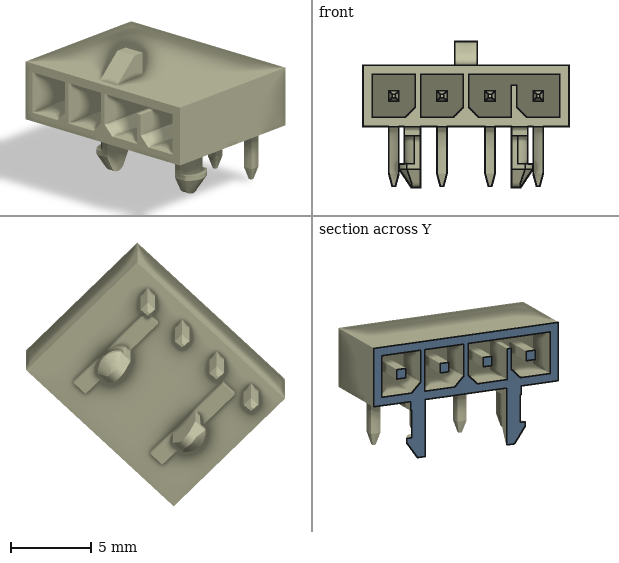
import cadquery as cq


width = 12.85
depth = 9.91
height = 3.83

pin_count = 4
row_span = 9.0
pitch = row_span / (pin_count - 1)
row_z = height / 2

cavity_size = 2.67
cavity_chamfer = 0.63
cavity_depth = 7.32
partition_gap = 0.67

pin_size = 0.64
pin_tip_size = 0.2
pin_tip_length = 0.81
pin_recess = 2.83
leg_setback = 1.04
leg_y = depth - leg_setback
leg_reach = 3.73

latch_width = 1.41
latch_height = 1.49
latch_front = 0.59
latch_back = 2.95
latch_crest = 0.78

rail_inner_x = 2.83
rail_width = 1.03
rail_height = 0.58
rail_front = 1.6
rail_length = 6.46

peg_y = 4.61
peg_half_width = 1.0
stem_flat = 0.39
stem_bulge = rail_width - stem_flat
barb_flat = 0.86
barb_bulge = 0.49
tip_half_width = 0.39
tip_flat = 0.46
tip_bulge = 0.12
nose_half_width = 0.54
nose_height = 0.3

barb_top = 2.33
barb_bottom = 2.65
peg_reach = 3.8

pin_xs = [i * pitch - row_span / 2 for i in range(pin_count)]


def box(x_range, y_range, z_range):
    """Box between pairs of coordinates."""
    size = [high - low for low, high in (x_range, y_range, z_range)]
    return cq.Workplane("XY").box(*size, centered=False).translate((x_range[0], y_range[0], z_range[0]))


def cavity(x, chamfer_side):
    """Square cavity with one lower corner cut, on the side given by the sign."""
    half = cavity_size / 2
    cut = half - cavity_chamfer
    outline = [
        (-half * chamfer_side, -half),
        (cut * chamfer_side, -half),
        (half * chamfer_side, -cut),
        (half * chamfer_side, half),
        (-half * chamfer_side, half),
    ]
    return cq.Workplane("XZ", origin=(x, 0, row_z)).polyline(outline).close().extrude(-cavity_depth)


def bar_with_tip(plane, length):
    """Square bar from the plane's origin along its normal, tapering at the far end."""
    shank_length = length - pin_tip_length
    shank = cq.Workplane(plane).rect(pin_size, pin_size).extrude(shank_length)
    tip = (
        cq.Workplane(plane)
        .workplane(offset=shank_length)
        .rect(pin_size, pin_size)
        .workplane(offset=pin_tip_length)
        .rect(pin_tip_size, pin_tip_size)
        .loft(ruled=True)
    )
    return shank.union(tip)


def pin(x):
    """Right-angle contact whose two arms start at the bend inside the back wall."""
    bend = (x, leg_y, row_z)
    contact = bar_with_tip(cq.Plane(bend, (1, 0, 0), (0, -1, 0)), leg_y - pin_recess)
    leg = bar_with_tip(cq.Plane(bend, (1, 0, 0), (0, 0, -1)), row_z + leg_reach)
    return contact.union(leg)


def latch():
    """Ramp rising from the mating side to a short crest."""
    outline = [
        (latch_front, height),
        (latch_back, height),
        (latch_back, height + latch_height),
        (latch_back - latch_crest, height + latch_height),
    ]
    return cq.Workplane("YZ").polyline(outline).close().extrude(latch_width / 2, both=True)


def peg_section(sketch, half_width, flat, bulge):
    """Section with a straight inner edge, two straight ends and a bowed outer edge."""
    return (
        sketch.moveTo(0, -half_width)
        .lineTo(flat, -half_width)
        .threePointArc((flat + bulge, 0), (flat, half_width))
        .lineTo(0, half_width)
        .close()
    )


def peg():
    """Snap peg on the +X side."""
    root = cq.Workplane("XY", origin=(rail_inner_x, peg_y, -rail_height))
    stem = peg_section(root, peg_half_width, stem_flat, stem_bulge).extrude(rail_height - barb_top)

    barb_plane = cq.Workplane("XY", origin=(rail_inner_x, peg_y, -barb_top))
    barb = peg_section(barb_plane, peg_half_width, barb_flat, barb_bulge).extrude(barb_top - barb_bottom)

    nose_plane = cq.Workplane("XY", origin=(rail_inner_x, peg_y, -barb_bottom))
    nose_root = peg_section(nose_plane, peg_half_width, barb_flat, barb_bulge)
    tip_plane = nose_root.workplane(offset=barb_bottom - peg_reach)
    nose = peg_section(tip_plane, tip_half_width, tip_flat, tip_bulge).loft(ruled=True)

    rounded = (
        cq.Workplane("YZ", origin=(rail_inner_x, peg_y, 0))
        .moveTo(-peg_half_width, -barb_bottom)
        .lineTo(-nose_half_width, nose_height - peg_reach)
        .threePointArc((0, -peg_reach), (nose_half_width, nose_height - peg_reach))
        .lineTo(peg_half_width, -barb_bottom)
        .close()
        .extrude(barb_flat + barb_bulge)
    )
    return stem.union(barb).union(nose.intersect(rounded))


def rail():
    """Standoff rail on the +X side."""
    return box(
        (rail_inner_x, rail_inner_x + rail_width),
        (rail_front, rail_front + rail_length),
        (-rail_height, 0),
    )


housing = box((-width / 2, width / 2), (0, depth), (0, height))

for x in pin_xs:
    housing = housing.cut(cavity(x, 1 if x < 0 else -1))

cavity_top = row_z + cavity_size / 2
housing = housing.cut(
    box((pin_xs[-2], pin_xs[-1]), (0, cavity_depth), (cavity_top - partition_gap, cavity_top))
)

mount = rail().union(peg())
result = housing.union(latch()).union(mount).union(mount.mirror("YZ"))
for x in pin_xs:
    result = result.union(pin(x))